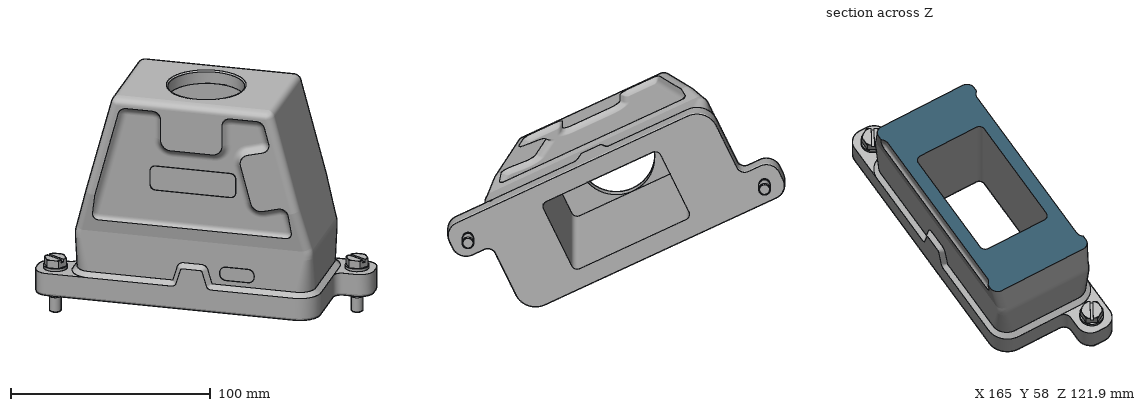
import cadquery as cq
import math

TOTAL_HEIGHT = 121.9
SCREW_DROP = 11.4
TOP_Z = TOTAL_HEIGHT - SCREW_DROP
FLANGE_HEIGHT = 12.0
RIM_CHAMFER = 2.4
RIM_SLOPE = 45.0
RIM_Z = FLANGE_HEIGHT + RIM_CHAMFER
CONE_TOP_Z = 32.0
SIDE_BEND_Z = 35.0
BELLY_LOW_Z = 36.5
BELLY_HIGH_Z = 57.0

CUT_OVERLAP = 0.5

POINT_TOLERANCE = 0.001

DEPTH = 58.0
HALF_DEPTH = DEPTH / 2
LOWER_HALF_DEPTH = HALF_DEPTH - RIM_CHAMFER
LOWER_HALF_WIDTH = 61.7
END_WALL_LEAN = 15.0
LEAN = math.radians(END_WALL_LEAN)
TOP_HALF_WIDTH = LOWER_HALF_WIDTH - (TOP_Z - SIDE_BEND_Z) * math.tan(LEAN)
EDGE_RADIUS = 4.0
BEND_RADIUS = 10.0
FOOT_CORNER_RADIUS = 8.0

LENGTH = 165.0
FLANGE_HALF_WIDTH = 64.4
FLANGE_CORNER_RADIUS = 11.0
EAR_HALF_WIDTH = 9.5
EAR_CORNER_RADIUS = 7.5
EAR_NECK_RADIUS = 4.0
SCREW_X = LENGTH / 2 - EAR_HALF_WIDTH
SCREW_Y = HALF_DEPTH - EAR_HALF_WIDTH
BOTTOM_CHAMFER_HEIGHT = 1.0
BOTTOM_CHAMFER_INSET = 0.3

BUMP_TOP_Z = 21.9
BUMP_TOP_HALF_WIDTH = 5.4
BUMP_FOOT_HALF_WIDTH = 8.4
BUMP_FOOT_RADIUS = 2.5
BUMP_TOP_RADIUS = 1.0
BUMP_BASE_HALF_WIDTH = 16.0
BUMP_BASE_Z = 6.0

HOLE_DIAMETER = 38.54
HOLE_CHAMFER = 0.75
HOLE_CHAMFER_ANGLE = 90.0
ROOF_THICKNESS = 7.0
CAVITY_WIDTH = 65.0
CAVITY_CLEARANCE = 0.05
CAVITY_DEPTH = HOLE_DIAMETER + 2 * CAVITY_CLEARANCE
CAVITY_CORNER_RADIUS = 3.0

PANEL_DEPTH = 2.7
PANEL_TOP_Z = 101.0
PANEL_BOTTOM_Z = 45.9
PANEL_TOP_HALF_WIDTH = 33.7
PANEL_WALL_SLOPE = 45.0
PANEL_FLOOR_FILLET = 4.0
FILLET_MARGIN = 0.03
PAD_CORNER_RADIUS = 9.5
TOP_PAD_HALF_WIDTH = 20.3
TOP_PAD_HEIGHT = 20.4
SIDE_PAD_START = 8.3
SIDE_PAD_LENGTH = 39.3
SIDE_PAD_REACH = 17.6

LABEL_DEPTH = 0.3
NAME_LABEL = (0.1, 68.3, 44.4, 13.0, 2.8)
RATING_LABEL = (23.0, 20.5, 17.9, 7.2, 3.3)

WASHER_DIAMETER = 12.0
WASHER_HEIGHT = 1.4
HEX_ACROSS_FLATS = 10.0
HEX_HEIGHT = 5.5
HEX_TOP_Z = FLANGE_HEIGHT + HEX_HEIGHT
HEX_CHAMFER_HEIGHT = 0.2
HEX_CHAMFER_INSET = 0.6
SLOT_WIDTH = 1.4
SLOT_DEPTH = 1.5
SLOT_ANGLE = -30.0
NECK_DIAMETER = 5.3
NECK_LENGTH = 2.3
THREAD_DIAMETER = 6.0
THREAD_START = 3.3
TIP_CHAMFER = 0.5


def rounded_rectangle(half_x, half_y, radius, z):
    """Sketch of a rounded rectangle lying at height z."""
    sketch = cq.Sketch().rect(2 * half_x, 2 * half_y).vertices().fillet(radius)
    return sketch.moved(cq.Location(cq.Vector(0, 0, z)))


def rounded_loft(lower, upper):
    """Solid between two rounded rectangles, each (half_x, half_y, radius, z)."""
    return cq.Workplane("XY").placeSketch(rounded_rectangle(*lower), rounded_rectangle(*upper)).loft()


def upper_hood():
    front_outline = (
        cq.Workplane("XZ")
        .polyline([
            (-LOWER_HALF_WIDTH, CONE_TOP_Z),
            (LOWER_HALF_WIDTH, CONE_TOP_Z),
            (LOWER_HALF_WIDTH, SIDE_BEND_Z),
            (TOP_HALF_WIDTH, TOP_Z),
            (-TOP_HALF_WIDTH, TOP_Z),
            (-LOWER_HALF_WIDTH, SIDE_BEND_Z),
        ])
        .close()
        .extrude(HALF_DEPTH, both=True)
    )
    end_outline = (
        cq.Workplane("YZ")
        .polyline([
            (-LOWER_HALF_DEPTH, CONE_TOP_Z),
            (LOWER_HALF_DEPTH, CONE_TOP_Z),
            (LOWER_HALF_DEPTH, BELLY_LOW_Z),
            (HALF_DEPTH, BELLY_HIGH_Z),
            (HALF_DEPTH, TOP_Z),
            (-HALF_DEPTH, TOP_Z),
            (-HALF_DEPTH, BELLY_HIGH_Z),
            (-LOWER_HALF_DEPTH, BELLY_LOW_Z),
        ])
        .close()
        .extrude(LOWER_HALF_WIDTH, both=True)
    )
    front_outline = front_outline.edges("|Y").edges("not(<Z or >Z)").fillet(BEND_RADIUS)
    hood = front_outline.intersect(end_outline)
    upright_edges = hood.edges("not(|X or |Y)")
    return upright_edges.add(hood.faces(">Z").edges()).fillet(EDGE_RADIUS)


def lower_hood():
    foot = (LOWER_HALF_WIDTH, LOWER_HALF_DEPTH, FOOT_CORNER_RADIUS, RIM_Z)
    head = (LOWER_HALF_WIDTH, LOWER_HALF_DEPTH, EDGE_RADIUS, CONE_TOP_Z)
    return rounded_loft(foot, head)


def rim_slope():
    flange_edge = (FLANGE_HALF_WIDTH, HALF_DEPTH, FLANGE_CORNER_RADIUS, FLANGE_HEIGHT)
    hood_edge = (LOWER_HALF_WIDTH, LOWER_HALF_DEPTH, FOOT_CORNER_RADIUS, RIM_Z)
    return rounded_loft(flange_edge, hood_edge)


def flange():
    """Plate that runs on into an ear at two corners and is rounded at the other two."""
    plate = cq.Workplane("XY").box(
        2 * FLANGE_HALF_WIDTH, DEPTH, FLANGE_HEIGHT, centered=(True, True, False)
    )
    ear_root = FLANGE_HALF_WIDTH - EAR_HALF_WIDTH
    for side in (-1, 1):
        ear = (
            cq.Workplane("XY")
            .center(side * (LENGTH / 2 + ear_root) / 2, side * SCREW_Y)
            .box(LENGTH / 2 - ear_root, 2 * EAR_HALF_WIDTH, FLANGE_HEIGHT, centered=(True, True, False))
        )
        plate = plate.union(ear)
    plate = plate.clean()

    inner_y = HALF_DEPTH - 2 * EAR_HALF_WIDTH
    for side in (-1, 1):
        corners = [
            (side * LENGTH / 2, side * HALF_DEPTH, EAR_CORNER_RADIUS),
            (side * LENGTH / 2, side * inner_y, EAR_CORNER_RADIUS),
            (side * FLANGE_HALF_WIDTH, side * inner_y, EAR_NECK_RADIUS),
            (side * FLANGE_HALF_WIDTH, -side * HALF_DEPTH, FLANGE_CORNER_RADIUS),
        ]
        for x, y, radius in corners:
            corner_edge = cq.selectors.NearestToPointSelector((x, y, FLANGE_HEIGHT / 2))
            plate = plate.edges("|Z").edges(corner_edge).fillet(radius)
    return plate.faces("<Z").edges().chamfer(BOTTOM_CHAMFER_HEIGHT, BOTTOM_CHAMFER_INSET)


def bump():
    """Front bump; its 45 degree borders widen from the flange face to the hood wall."""
    bump_feet = (
        cq.selectors.NearestToPointSelector((-BUMP_FOOT_HALF_WIDTH, FLANGE_HEIGHT, 0))
        + cq.selectors.NearestToPointSelector((BUMP_FOOT_HALF_WIDTH, FLANGE_HEIGHT, 0))
    )
    outline = (
        cq.Sketch()
        .polygon([
            (-BUMP_BASE_HALF_WIDTH, BUMP_BASE_Z),
            (BUMP_BASE_HALF_WIDTH, BUMP_BASE_Z),
            (BUMP_BASE_HALF_WIDTH, FLANGE_HEIGHT),
            (BUMP_FOOT_HALF_WIDTH, FLANGE_HEIGHT),
            (BUMP_TOP_HALF_WIDTH, BUMP_TOP_Z),
            (-BUMP_TOP_HALF_WIDTH, BUMP_TOP_Z),
            (-BUMP_FOOT_HALF_WIDTH, FLANGE_HEIGHT),
            (-BUMP_BASE_HALF_WIDTH, FLANGE_HEIGHT),
            (-BUMP_BASE_HALF_WIDTH, BUMP_BASE_Z),
        ])
        .reset()
        .vertices(bump_feet)
        .fillet(BUMP_FOOT_RADIUS)
        .reset()
        .vertices(">Y")
        .fillet(BUMP_TOP_RADIUS)
    )
    return (
        cq.Workplane("XZ", origin=(0, -HALF_DEPTH, 0))
        .placeSketch(outline)
        .extrude(-RIM_CHAMFER, taper=-RIM_SLOPE)
    )


def panel_floor():
    """Floor outline: a trapezoid less a pad at its top edge and a pad at its right edge."""
    down = (math.sin(LEAN), -math.cos(LEAN))
    inward = (-math.cos(LEAN), -math.sin(LEAN))

    def along_right_edge(distance, reach=0.0):
        x = PANEL_TOP_HALF_WIDTH + distance * down[0] + reach * inward[0]
        z = PANEL_TOP_Z + distance * down[1] + reach * inward[1]
        return (x, z)

    side_pad_end = SIDE_PAD_START + SIDE_PAD_LENGTH
    top_pad_z = PANEL_TOP_Z - TOP_PAD_HEIGHT
    bottom_half_width = PANEL_TOP_HALF_WIDTH + (PANEL_TOP_Z - PANEL_BOTTOM_Z) * math.tan(LEAN)
    pad_corners = [
        (-TOP_PAD_HALF_WIDTH, top_pad_z),
        (TOP_PAD_HALF_WIDTH, top_pad_z),
        along_right_edge(SIDE_PAD_START, SIDE_PAD_REACH),
        along_right_edge(side_pad_end, SIDE_PAD_REACH),
    ]
    outline = [
        (-PANEL_TOP_HALF_WIDTH, PANEL_TOP_Z),
        (-TOP_PAD_HALF_WIDTH, PANEL_TOP_Z),
        pad_corners[0],
        pad_corners[1],
        (TOP_PAD_HALF_WIDTH, PANEL_TOP_Z),
        (PANEL_TOP_HALF_WIDTH, PANEL_TOP_Z),
        along_right_edge(SIDE_PAD_START),
        pad_corners[2],
        pad_corners[3],
        along_right_edge(side_pad_end),
        (bottom_half_width, PANEL_BOTTOM_Z),
        (-bottom_half_width, PANEL_BOTTOM_Z),
    ]
    floor = cq.Workplane("XZ", origin=(0, -HALF_DEPTH + PANEL_DEPTH, 0)).polyline(outline).close()
    face = cq.Face.makeFromWires(floor.val())
    corner_vertices = [
        vertex for vertex in face.Vertices()
        if any(math.hypot(vertex.X - x, vertex.Z - z) < POINT_TOLERANCE for x, z in pad_corners)
    ]
    return face.fillet2D(PAD_CORNER_RADIUS, corner_vertices)


def panel_cutter():
    """Recess with sloping walls that blend into the floor."""
    blend = PANEL_FLOOR_FILLET * math.tan(math.radians(PANEL_WALL_SLOPE) / 2)
    wall_foot = panel_floor().outerWire().offset2D(blend + FILLET_MARGIN, "arc")[0]
    cutter = (
        cq.Workplane("XZ", origin=(0, -HALF_DEPTH + PANEL_DEPTH, 0))
        .newObject([wall_foot])
        .toPending()
        .extrude(PANEL_DEPTH + CUT_OVERLAP, taper=-PANEL_WALL_SLOPE)
    )
    return cutter.faces(">Y").edges().fillet(PANEL_FLOOR_FILLET)


def label_cutter(label, wall_y):
    x, z, width, height, corner_radius = label
    return (
        cq.Workplane("XZ", origin=(x, wall_y, z))
        .rect(width, height)
        .extrude(-LABEL_DEPTH)
        .edges("|Y")
        .fillet(corner_radius)
    )


def cavity():
    return (
        cq.Workplane("XY")
        .rect(CAVITY_WIDTH, CAVITY_DEPTH)
        .extrude(TOP_Z - ROOF_THICKNESS)
        .edges("|Z")
        .fillet(CAVITY_CORNER_RADIUS)
    )


def screw():
    """Slotted hexagon screw with its axis on Z and its washer on top of the flange."""
    across_corners = HEX_ACROSS_FLATS / math.cos(math.pi / 6)
    head_base = cq.Workplane("XY", origin=(0, 0, FLANGE_HEIGHT))
    rounding_cone = (
        head_base.circle(across_corners / 2)
        .extrude(HEX_HEIGHT)
        .faces(">Z")
        .chamfer(HEX_CHAMFER_HEIGHT, HEX_CHAMFER_INSET)
    )
    hex_head = head_base.polygon(6, across_corners).extrude(HEX_HEIGHT).intersect(rounding_cone)
    slot = (
        cq.Workplane("XY", origin=(0, 0, HEX_TOP_Z))
        .transformed(rotate=(0, 0, SLOT_ANGLE))
        .rect(2 * HEX_ACROSS_FLATS, SLOT_WIDTH)
        .extrude(-SLOT_DEPTH)
    )
    washer = (
        cq.Workplane("XY", origin=(0, 0, FLANGE_HEIGHT))
        .circle(WASHER_DIAMETER / 2)
        .extrude(WASHER_HEIGHT)
    )
    shank = (
        cq.Workplane("XZ")
        .polyline([
            (0, FLANGE_HEIGHT),
            (NECK_DIAMETER / 2, FLANGE_HEIGHT),
            (NECK_DIAMETER / 2, -NECK_LENGTH),
            (THREAD_DIAMETER / 2, -THREAD_START),
            (THREAD_DIAMETER / 2, TIP_CHAMFER - SCREW_DROP),
            (THREAD_DIAMETER / 2 - TIP_CHAMFER, -SCREW_DROP),
            (0, -SCREW_DROP),
        ])
        .close()
        .revolve(360, (0, 0, 0), (0, 1, 0))
    )
    return hex_head.cut(slot).union(washer).union(shank)


def cable_hole(body):
    mouth_diameter = HOLE_DIAMETER + 2 * HOLE_CHAMFER
    return (
        body.faces(">Z")
        .workplane(origin=(0, 0, TOP_Z))
        .cskHole(HOLE_DIAMETER, mouth_diameter, HOLE_CHAMFER_ANGLE, ROOF_THICKNESS + CUT_OVERLAP)
    )


body = upper_hood().union(lower_hood()).union(rim_slope()).union(flange())
body = body.union(bump()).union(bump().mirror("XZ"))
body = body.cut(panel_cutter()).cut(panel_cutter().mirror("XZ"))
body = body.cut(label_cutter(NAME_LABEL, -HALF_DEPTH + PANEL_DEPTH))
body = body.cut(label_cutter(RATING_LABEL, -LOWER_HALF_DEPTH))
body = body.cut(cavity())
body = cable_hole(body)
for side in (-1, 1):
    body = body.union(screw().translate((side * SCREW_X, side * SCREW_Y, 0)))

result = body